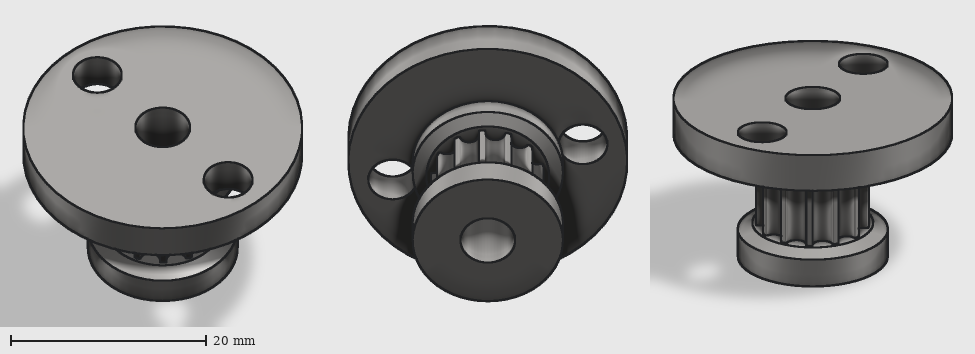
import cadquery as cq
import math

disc_diameter = 28.6
disc_thickness = 4.0
mount_hole_diameter = 5.0
mount_hole_offset = 10.0

flange_diameter = 15.4
lower_rim_height = 3.02
lower_taper_height = 0.7
lower_taper_end_diameter = 12.4
upper_rim_height = 1.9
upper_taper_height = 0.6
upper_taper_end_diameter = 12.6

tooth_count = 13
toothed_length = 7.5
tooth_tip_diameter = 11.65
groove_depth = 1.2
groove_width = 2.4
mouth_corner_radius = 0.18
first_tooth_angle = 180.0

bore_diameter = 5.6

bottom_z = 0.0
lower_rim_z = bottom_z + lower_rim_height
teeth_bottom_z = lower_rim_z + lower_taper_height
teeth_top_z = teeth_bottom_z + toothed_length
upper_rim_z = teeth_top_z + upper_taper_height
disc_bottom_z = upper_rim_z + upper_rim_height
disc_top_z = disc_bottom_z + disc_thickness


def make_flange(outer_z, rim_z, taper_end_z, taper_end_diameter):
    """Cylinder from outer_z to rim_z, then a taper down to taper_end_diameter at the teeth."""
    rim_radius = flange_diameter / 2
    profile = [
        (0, outer_z),
        (rim_radius, outer_z),
        (rim_radius, rim_z),
        (taper_end_diameter / 2, taper_end_z),
        (0, taper_end_z),
    ]
    return cq.Workplane("XZ").polyline(profile).close().revolve(360, (0, 0), (0, 1))


def make_groove_cutter():
    """Belt groove opening towards +X: a round bottom blended by tangent arcs into rounded mouth corners."""
    tip_radius = tooth_tip_diameter / 2
    mouth_y = groove_width / 2
    mouth_x = math.sqrt(tip_radius**2 - mouth_y**2)
    outer_x = tip_radius + mouth_corner_radius
    bottom_x = tip_radius - groove_depth

    corner_centre_x = mouth_x - mouth_corner_radius
    rise = corner_centre_x - bottom_x
    bottom_radius = (rise**2 + mouth_y**2 - mouth_corner_radius**2) / (2 * (rise + mouth_corner_radius))
    bottom_centre_x = bottom_x + bottom_radius

    corner_sweep = math.atan2(mouth_y, bottom_centre_x - corner_centre_x)
    corner_mid_x = corner_centre_x + mouth_corner_radius * math.cos(corner_sweep / 2)
    corner_mid_y = mouth_y - mouth_corner_radius * math.sin(corner_sweep / 2)
    touch_x = corner_centre_x + mouth_corner_radius * math.cos(corner_sweep)
    touch_y = mouth_y - mouth_corner_radius * math.sin(corner_sweep)

    return (
        cq.Workplane("XY")
        .moveTo(outer_x, -mouth_y)
        .lineTo(mouth_x, -mouth_y)
        .threePointArc((corner_mid_x, -corner_mid_y), (touch_x, -touch_y))
        .threePointArc((bottom_x, 0), (touch_x, touch_y))
        .threePointArc((corner_mid_x, corner_mid_y), (mouth_x, mouth_y))
        .lineTo(outer_x, mouth_y)
        .close()
        .extrude(toothed_length)
    )


def make_toothed_section():
    """Cylinder with evenly spaced belt grooves; one tooth is centred on the -X side."""
    pitch_angle = 360 / tooth_count
    section = cq.Workplane("XY").circle(tooth_tip_diameter / 2).extrude(toothed_length)
    cutter = make_groove_cutter()
    for index in range(tooth_count):
        groove_angle = first_tooth_angle + (index + 0.5) * pitch_angle
        section = section.cut(cutter.rotate((0, 0, 0), (0, 0, 1), groove_angle))
    return section.translate((0, 0, teeth_bottom_z))


def make_disc():
    """Mounting disc with two holes that stop at its underside."""
    return (
        cq.Workplane("XY")
        .workplane(offset=disc_bottom_z)
        .circle(disc_diameter / 2)
        .pushPoints([(-mount_hole_offset, 0), (mount_hole_offset, 0)])
        .circle(mount_hole_diameter / 2)
        .extrude(disc_thickness)
    )


def make_bore():
    """Central bore through the full height."""
    return cq.Workplane("XY").circle(bore_diameter / 2).extrude(disc_top_z)


lower_flange = make_flange(bottom_z, lower_rim_z, teeth_bottom_z, lower_taper_end_diameter)
upper_flange = make_flange(disc_bottom_z, upper_rim_z, teeth_top_z, upper_taper_end_diameter)

result = (
    lower_flange
    .union(make_toothed_section())
    .union(upper_flange)
    .union(make_disc())
    .cut(make_bore())
)